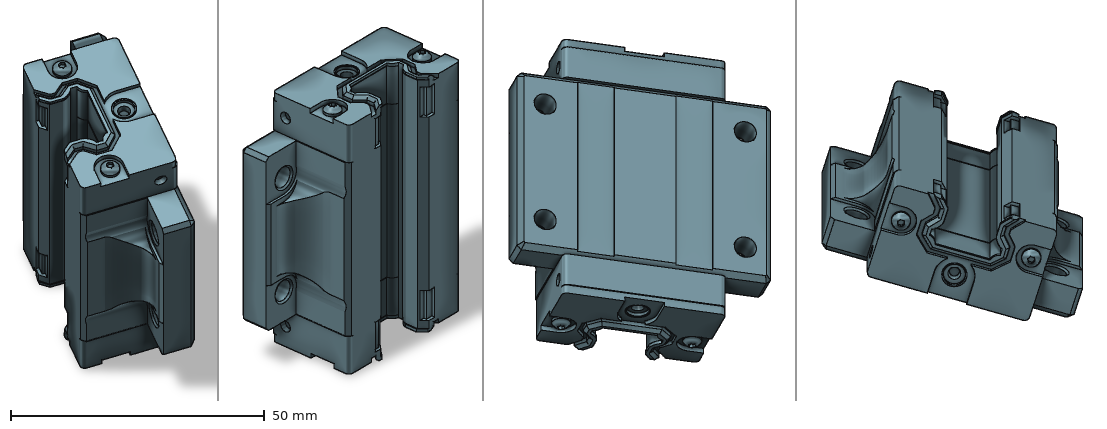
import cadquery as cq
import math


TOTAL_LENGTH = 58.6
HEIGHT = 20.7
FLANGE_WIDTH = 52.0
BLOCK_LENGTH = 39.85
BLOCK_WIDTH = 34.2
CAP_WIDTH = 33.4

end_z = TOTAL_LENGTH / 2
block_end_z = BLOCK_LENGTH / 2
flange_edge = FLANGE_WIDTH / 2
block_side = BLOCK_WIDTH / 2

FOOT_CHAMFER = 1.1
FLANGE_TOP_CHAMFER = 1.1
FLANGE_CORNER_CHAMFER = 0.9
FLANGE_BOTTOM_Y = 13.2
FLANGE_BOTTOM_CHAMFER_X = 0.9
FLANGE_BOTTOM_CHAMFER_Y = 0.6
TOP_GROOVE_INNER_X = 6.3
TOP_GROOVE_OUTER_X = 13.85
TOP_GROOVE_DEPTH = 0.25

HOLE_X = 20.5
HOLE_Z = 13.0
HOLE_DIAMETER = 4.5
HOLE_CHAMFER = 0.4
RELIEF_X = 20.8
RELIEF_Z = 13.35
RELIEF_RADIUS = 4.05
RELIEF_WALL_STEP = 0.2
RELIEF_WALL_RAMP = 1.05
SPOT_FACE_DEPTH = 0.6
spot_face_y = FLANGE_BOTTOM_Y + SPOT_FACE_DEPTH

COVE_OUTER_X = 23.25
COVE_SEAM = (19.75, 11.55)
COVE_UPPER_MID = (21.45, 12.8)
COVE_LOWER_MID = (18.05, 8.5)
COVE_END_Y = 4.8
COVE_HALF_LENGTH = 8.1
COVE_END_RADIUS = 4.1
COVE_END_X = 21.35

CHANNEL_TOP_Y = 9.6
CAP_CHANNEL_TOP_Y = 9.7
CHANNEL_HALF_WIDTH = 7.25
CHANNEL_TOP_HALF_WIDTH = 5.6
CHANNEL_SIDE_TOP_Y = 8.0
CHANNEL_SIDE_BOTTOM_Y = 6.75
JAW_TOP_Y = 4.6
JAW_BOTTOM_Y = 1.7
UPPER_LOBE_MID = (6.2, 8.6)
LOWER_LOBE_MID = (6.2, 6.0)
JAW_HALF_WIDTH = 5.6
MOUTH_HALF_WIDTH = 7.25
SEAL_JAW_HALF_WIDTH = 5.4
SEAL_MOUTH_HALF_WIDTH = 6.85

CAP_FACE_Z = 28.6
CAP_STEP_Z = 26.8
CAP_TOP_Y = 20.45
CAP_END_TOP_Y = 20.15
CAP_CORNER_RADIUS = 1.05

LIP_BASE_OFFSET = 1.4
LIP_CREST_OFFSET = 0.7
GROOVE_OFFSET = 2.4
GROOVE_DEPTH = 0.9
groove_floor_z = CAP_FACE_Z - GROOVE_DEPTH

PORT_Y = 15.25
PORT_RECESS_RADIUS = 4.05
PORT_RIM_DIAMETER = 5.0
PORT_RIM_DEPTH = 0.2
PORT_BORE_DIAMETER = 4.4
PORT_BORE_DEPTH = 0.9

TAPER_OUTER_DIAMETER = 2.5
TAPER_INNER_DIAMETER = 2.0
TAPER_DEPTH = 1.2

SCREW_X = 13.4
SCREW_Y = 7.25
SCREW_HEAD_DIAMETER = 3.8
SCREW_RIM_HEIGHT = 0.6
SCREW_SOCKET_DIAMETER = 1.5
SCREW_SOCKET_DEPTH = 0.9
SCREW_RECESS_RADIUS = 3.0
SCREW_RECESS_DEPTH = 1.05
SCREW_RECESS_Y = {-1: SCREW_Y, 1: 7.05}

SIDE_PORT_Y = 16.7
SIDE_PORT_Z = 23.9

FOOT_POCKET_INNER_X = 5.9
FOOT_POCKET_OUTER_X = 8.9
FOOT_POCKET_STEP_X = 7.2
FOOT_POCKET_DEPTH = 0.7
FOOT_POCKET_INNER_DEPTH = 1.35

SIDES = (-1, 1)
CLEARANCE = 5.85


def at_z(z):
    return cq.Workplane("XY", origin=(0, 0, z))


def bar(x0, x1, y0, y1, z0, z1):
    return cq.Workplane("XY").box(x1 - x0, y1 - y0, z1 - z0, centered=False).translate((x0, y0, z0))


def cylinder_z(x, y, radius, z0, z1):
    return at_z(z0).center(x, y).circle(radius).extrude(z1 - z0)


def mouth_point(jaw, mouth):
    """Point below y = 0 on the continued flare of the channel mouth."""
    return mouth + (mouth - jaw) / JAW_BOTTOM_Y * CLEARANCE, -CLEARANCE


def channel(jaw, mouth, top_y, z0, z1):
    """Rail space: a lobed raceway on each side above a flared mouth."""
    flare = mouth_point(jaw, mouth)

    def left(point):
        return -point[0], point[1]

    profile = (
        at_z(z0)
        .moveTo(*flare)
        .lineTo(jaw, JAW_BOTTOM_Y)
        .lineTo(jaw, JAW_TOP_Y)
        .threePointArc(LOWER_LOBE_MID, (CHANNEL_HALF_WIDTH, CHANNEL_SIDE_BOTTOM_Y))
        .lineTo(CHANNEL_HALF_WIDTH, CHANNEL_SIDE_TOP_Y)
        .threePointArc(UPPER_LOBE_MID, (CHANNEL_TOP_HALF_WIDTH, top_y))
        .lineTo(-CHANNEL_TOP_HALF_WIDTH, top_y)
        .threePointArc(left(UPPER_LOBE_MID), (-CHANNEL_HALF_WIDTH, CHANNEL_SIDE_TOP_Y))
        .lineTo(-CHANNEL_HALF_WIDTH, CHANNEL_SIDE_BOTTOM_Y)
        .threePointArc(left(LOWER_LOBE_MID), (-jaw, JAW_TOP_Y))
        .lineTo(-jaw, JAW_BOTTOM_Y)
        .lineTo(*left(flare))
        .close()
    )
    return profile.extrude(z1 - z0)


def seal_outline(offset, z):
    """Angular outline that follows the rail at the given distance."""
    right = [
        mouth_point(SEAL_JAW_HALF_WIDTH, SEAL_MOUTH_HALF_WIDTH),
        (SEAL_JAW_HALF_WIDTH, JAW_BOTTOM_Y),
        (SEAL_JAW_HALF_WIDTH, JAW_TOP_Y),
        (CHANNEL_HALF_WIDTH, CHANNEL_SIDE_BOTTOM_Y),
        (CHANNEL_HALF_WIDTH, CHANNEL_SIDE_TOP_Y),
        (CHANNEL_TOP_HALF_WIDTH, CHANNEL_TOP_Y),
    ]
    left = [(-x, y) for x, y in reversed(right)]
    return at_z(z).polyline(right + left).close().offset2D(offset, "intersection")


def rounded_corner(x, z, radius, far_x, far_z):
    """Outline in XZ that reaches from a round corner centred on (x, z) out to (far_x, far_z)."""
    step_x = math.copysign(radius, far_x - x)
    step_z = math.copysign(radius, far_z - z)
    diagonal = math.sqrt(0.5)
    return (
        cq.Workplane("XZ")
        .moveTo(far_x, far_z)
        .lineTo(far_x, z - step_z)
        .lineTo(x, z - step_z)
        .threePointArc((x - diagonal * step_x, z - diagonal * step_z), (x - step_x, z))
    )


def flange_plate():
    """Mounting plate with bevelled top edges, corners and lower outer edges."""
    plate = bar(-flange_edge, flange_edge, FLANGE_BOTTOM_Y, HEIGHT, -block_end_z, block_end_z)
    plate = plate.edges("|Y").chamfer(FLANGE_CORNER_CHAMFER)
    plate = plate.faces(">Y").edges().chamfer(FLANGE_TOP_CHAMFER)
    for side in SIDES:
        bevel = (
            at_z(-block_end_z)
            .moveTo(side * flange_edge, FLANGE_BOTTOM_Y)
            .lineTo(side * flange_edge, FLANGE_BOTTOM_Y + FLANGE_BOTTOM_CHAMFER_Y)
            .lineTo(side * (flange_edge - FLANGE_BOTTOM_CHAMFER_X), FLANGE_BOTTOM_Y)
            .close()
            .extrude(BLOCK_LENGTH)
        )
        plate = plate.cut(bevel)
    return plate


def gusset(side):
    """Coved web from the flange down to the block side, hollowed round at its ends."""
    end_z_limit = COVE_HALF_LENGTH + COVE_END_RADIUS
    seam_x, seam_y = COVE_SEAM
    root_x = block_side - FOOT_CHAMFER
    web = (
        at_z(-end_z_limit)
        .moveTo(side * COVE_OUTER_X, FLANGE_BOTTOM_Y)
        .threePointArc((side * COVE_UPPER_MID[0], COVE_UPPER_MID[1]), (side * seam_x, seam_y))
        .threePointArc((side * COVE_LOWER_MID[0], COVE_LOWER_MID[1]), (side * block_side, COVE_END_Y))
        .lineTo(side * root_x, COVE_END_Y)
        .lineTo(side * root_x, spot_face_y)
        .lineTo(side * COVE_OUTER_X, spot_face_y)
        .close()
        .extrude(2 * end_z_limit)
    )
    for end in SIDES:
        outline = rounded_corner(
            side * COVE_END_X, end * end_z_limit, COVE_END_RADIUS, side * flange_edge, end * block_end_z
        )
        outline = outline.lineTo(side * (COVE_END_X - COVE_END_RADIUS), end * block_end_z)
        web = web.cut(outline.close().extrude(-HEIGHT))
    return web


def spot_face(side, end):
    """Clearance under a flange hole, open to the outer side and to the block end."""
    outer_x = flange_edge + CLEARANCE
    outer_z = block_end_z + CLEARANCE
    wall_x = RELIEF_X - RELIEF_RADIUS + RELIEF_WALL_STEP
    outline = (
        rounded_corner(side * RELIEF_X, end * RELIEF_Z, RELIEF_RADIUS, side * outer_x, end * outer_z)
        .lineTo(side * wall_x, end * (RELIEF_Z + RELIEF_WALL_RAMP))
        .lineTo(side * wall_x, end * outer_z)
    )
    return outline.close().extrude(-spot_face_y)


def flange_hole(side, end):
    """Through hole with a chamfered lower rim."""
    radius = HOLE_DIAMETER / 2
    rim_radius = radius + HOLE_CHAMFER
    profile = (
        cq.Workplane("XY")
        .lineTo(rim_radius, 0)
        .lineTo(rim_radius, spot_face_y)
        .lineTo(radius, spot_face_y + HOLE_CHAMFER)
        .lineTo(radius, HEIGHT)
        .lineTo(0, HEIGHT)
        .close()
    )
    hole = profile.revolve(360, (0, 0, 0), (0, 1, 0))
    return hole.translate((side * HOLE_X, 0, end * HOLE_Z))


def steel_block():
    body = bar(-block_side, block_side, 0, spot_face_y, -block_end_z, block_end_z)
    body = body.faces("<Y").edges("|Z").chamfer(FOOT_CHAMFER)
    body = body.union(flange_plate())
    for side in SIDES:
        body = body.union(gusset(side))
        x0, x1 = sorted((side * TOP_GROOVE_INNER_X, side * TOP_GROOVE_OUTER_X))
        body = body.cut(bar(x0, x1, HEIGHT - TOP_GROOVE_DEPTH, HEIGHT, -block_end_z, block_end_z))
    for side in SIDES:
        for end in SIDES:
            body = body.cut(spot_face(side, end))
            body = body.cut(flange_hole(side, end))
    return body.cut(channel(JAW_HALF_WIDTH, MOUTH_HALF_WIDTH, CHANNEL_TOP_Y, -block_end_z, block_end_z))


def rounded_bar(top_y, z0, z1):
    return bar(-CAP_WIDTH / 2, CAP_WIDTH / 2, 0, top_y, z0, z1).edges("|Z").fillet(CAP_CORNER_RADIUS)


def above_foot(z0, z1):
    return bar(-CAP_WIDTH / 2, CAP_WIDTH / 2, 0, HEIGHT, z0, z1)


def seal_base():
    """Core that fills the groove up to the foot of the lip."""
    base = seal_outline(LIP_BASE_OFFSET, groove_floor_z).extrude(GROOVE_DEPTH)
    return base.intersect(above_foot(groove_floor_z, CAP_FACE_Z))


def seal_lip():
    """Raised lip round the channel with a bevelled outer edge."""
    height = end_z - CAP_FACE_Z
    bevel_angle = math.degrees(math.atan2(LIP_BASE_OFFSET - LIP_CREST_OFFSET, height))
    lip = seal_outline(LIP_BASE_OFFSET, CAP_FACE_Z).extrude(height, taper=bevel_angle)
    lip = lip.intersect(above_foot(CAP_FACE_Z, end_z))
    return lip.cut(channel(SEAL_JAW_HALF_WIDTH, SEAL_MOUTH_HALF_WIDTH, CHANNEL_TOP_Y, CAP_FACE_Z, end_z))


def lubrication_recess():
    """Shallow round-ended recess that runs to the top edge of the cap."""
    recess = cylinder_z(0, PORT_Y, PORT_RECESS_RADIUS, groove_floor_z, end_z)
    return recess.union(bar(-PORT_RECESS_RADIUS, PORT_RECESS_RADIUS, PORT_Y, HEIGHT, groove_floor_z, end_z))


def tapered_hole(mouth, direction):
    cone = cq.Solid.makeCone(
        TAPER_OUTER_DIAMETER / 2,
        TAPER_INNER_DIAMETER / 2,
        TAPER_DEPTH,
        cq.Vector(mouth),
        cq.Vector(direction),
    )
    return cq.Workplane(obj=cone)


def lubrication_port():
    """Stepped counterbore with a smaller tapered hole in its floor."""
    rim_z = groove_floor_z - PORT_RIM_DEPTH
    floor_z = groove_floor_z - PORT_BORE_DEPTH
    rim = cylinder_z(0, PORT_Y, PORT_RIM_DIAMETER / 2, rim_z, groove_floor_z)
    bore = cylinder_z(0, PORT_Y, PORT_BORE_DIAMETER / 2, floor_z, groove_floor_z)
    return rim.union(bore).union(tapered_hole((0, PORT_Y, floor_z), (0, 0, -1)))


def screw_recess(side):
    """Round-ended recess open to the side of the cap."""
    floor_z = CAP_FACE_Z - SCREW_RECESS_DEPTH
    y = SCREW_RECESS_Y[side]
    x0, x1 = sorted((side * SCREW_X, side * block_side))
    slot = bar(x0, x1, y - SCREW_RECESS_RADIUS, y + SCREW_RECESS_RADIUS, floor_z, CAP_FACE_Z)
    return slot.union(cylinder_z(side * SCREW_X, y, SCREW_RECESS_RADIUS, floor_z, CAP_FACE_Z))


def screw_head(side):
    """Domed head with a hexagon socket."""
    floor_z = CAP_FACE_Z - SCREW_RECESS_DEPTH
    height = end_z - floor_z
    rim = SCREW_HEAD_DIAMETER / 2
    dome_height = height - SCREW_RIM_HEIGHT
    dome_radius = (rim**2 + dome_height**2) / (2 * dome_height)
    mid_x = rim / 2
    mid_y = height - dome_radius + math.sqrt(dome_radius**2 - mid_x**2)
    head = (
        cq.Workplane("XZ")
        .lineTo(rim, 0)
        .lineTo(rim, SCREW_RIM_HEIGHT)
        .threePointArc((mid_x, mid_y), (0, height))
        .close()
        .revolve(360, (0, 0, 0), (0, 1, 0))
    )
    socket = at_z(height - SCREW_SOCKET_DEPTH).polygon(6, SCREW_SOCKET_DIAMETER).extrude(SCREW_SOCKET_DEPTH)
    return head.cut(socket).translate((side * SCREW_X, SCREW_Y, floor_z))


def side_port(side):
    return tapered_hole((side * CAP_WIDTH / 2, SIDE_PORT_Y, SIDE_PORT_Z), (-side, 0, 0))


def foot_pocket(side):
    """Pocket with two floors, deeper where it opens through the mouth flare."""
    points = [
        (FOOT_POCKET_OUTER_X, 0),
        (FOOT_POCKET_OUTER_X, FOOT_POCKET_DEPTH),
        (FOOT_POCKET_STEP_X, FOOT_POCKET_DEPTH),
        (FOOT_POCKET_STEP_X, FOOT_POCKET_INNER_DEPTH),
        (FOOT_POCKET_INNER_X, FOOT_POCKET_INNER_DEPTH),
        (FOOT_POCKET_INNER_X, 0),
    ]
    outline = [(side * x, y) for x, y in points]
    return at_z(block_end_z).polyline(outline).close().extrude(CAP_STEP_Z - block_end_z)


def end_cap():
    """Cap for the +Z end of the block."""
    cap = rounded_bar(CAP_TOP_Y, block_end_z, CAP_STEP_Z)
    cap = cap.union(rounded_bar(CAP_END_TOP_Y, CAP_STEP_Z, CAP_FACE_Z))
    cap = cap.cut(seal_outline(GROOVE_OFFSET, groove_floor_z).extrude(GROOVE_DEPTH))
    cap = cap.cut(lubrication_recess()).cut(lubrication_port())
    cap = cap.union(seal_base())
    cap = cap.cut(channel(JAW_HALF_WIDTH, MOUTH_HALF_WIDTH, CAP_CHANNEL_TOP_Y, block_end_z, CAP_FACE_Z))
    cap = cap.union(seal_lip())
    for side in SIDES:
        cap = cap.cut(screw_recess(side)).union(screw_head(side))
        cap = cap.cut(side_port(side)).cut(foot_pocket(side))
    return cap


upper_cap = end_cap()
lower_cap = upper_cap.rotate((0, 0, 0), (0, 1, 0), 180)
result = steel_block().union(upper_cap).union(lower_cap)